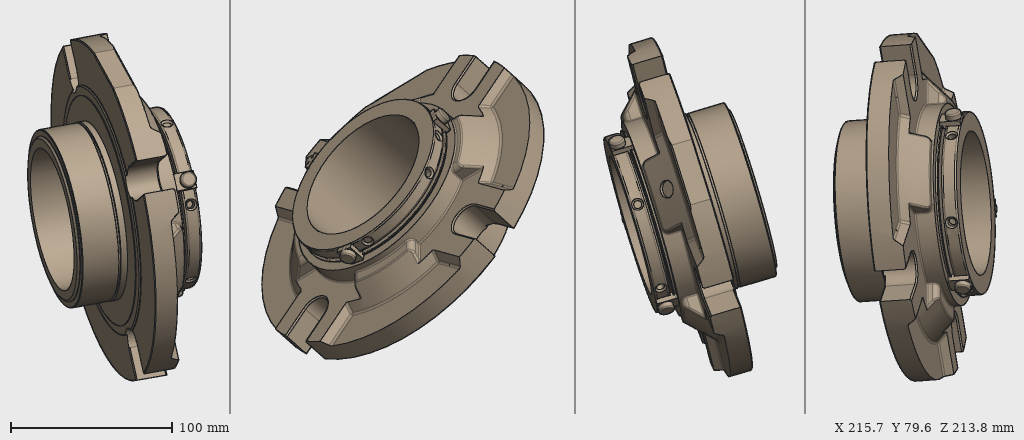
import cadquery as cq
import math


tolerance = 0.01

flange_radius = 107.83
flat_height = 105.99
flat_back_bevel = 1.0
rim_thickness = 14.5
pad_top = 20.3
pad_half_width_top = 25.5
pad_half_width_base = 30.0
mounting_edge_chamfer = 0.6
slot_angles = [45, 135, 225, 315]

slot_width = 21.2
slot_center_radius = 86.3
slot_front_bevel = 0.7
slot_back_bevel = 1.0

register_radius = 79.0
register_edge = 0.8
register_height = 1.3
register_step_radius = 145.47 / 2
register_step_height = 1.9

bore_diameter = 89.99
sleeve_radius = 112.7 / 2
sleeve_edge = 0.5
sleeve_tip_y = -33.0
sleeve_tip_radius = 104.76 / 2
sleeve_tip_chamfer = 1.4
sleeve_shoulder_y = -31.2
shoulder_radius = 113.25 / 2
groove_radius = 109.75 / 2
groove_front_y = -7.5
groove_back_y = -6.0

recess_fillet = 2.5
recess_overrun = 20.0

cone_sum = 99.3
body_radius = 63.0
hub_fillet = 0.9
body_top = 33.0
collar_step_radius = 112.7 / 2
collar_step_y = 34.5
collar_radius = 115.77 / 2
collar_y = 35.3
neck_radius = 95.23 / 2

boss_half_width = 23.8
boss_top = 32.0
lower_boss_top = 28.2
boss_tops = {0: boss_top, 90: boss_top, 180: boss_top, 270: lower_boss_top}
boss_corner_radius = 4.0
boss_edge_fillet = 1.6
boss_inner_radius = 50.0
port_diameter = 11.0
port_y = 22.9
port_depth = 2.2

ring_radius = 114.25 / 2
ring_front_y = 37.0
ring_back_y = 46.45
ring_chamfer_axial = 1.2
ring_chamfer_radial = 0.4
ring_mid_y = (ring_front_y + ring_back_y) / 2
set_screw_angles = [90, 180, 270]
open_hole_angles = [30, 150, 210, 330]
set_screw_diameter = 5.0
set_screw_mouth_diameter = 7.6
set_screw_recess = 1.2
open_hole_depth = 6.0

clip_angles = [45, 165, 285]
clip_width = 11.0
clip_inner_radius = 57.0
clip_outer_radius = 60.3
clip_foot_radius = 55.5
clip_corner_radius = 1.2
clip_head_diameter = 10.0
clip_head_y = 41.63
clip_head_top = 64.3
clip_head_round = 1.0


def at_angle(shape, angle):
    """Turn a feature built on +X about the Y axis, counted from +X toward +Z."""
    return shape.rotate((0, 0, 0), (0, 1, 0), -angle)


def axial_plane(y):
    """Plane across the axis at the given Y, with its normal along +Y."""
    return cq.Workplane(cq.Plane(origin=(0, y, 0), xDir=(1, 0, 0), normal=(0, 1, 0)))


def radial_cylinder(diameter, y, inner, outer):
    """Cylinder along +X between two distances from the axis."""
    base = cq.Workplane("YZ", origin=(inner, y, 0))
    return base.circle(diameter / 2).extrude(outer - inner)


def make_turned_body():
    """Revolved register, sleeve, cover body and lock ring."""
    profile = (
        cq.Workplane("XY")
        .moveTo(0, sleeve_tip_y)
        .lineTo(sleeve_tip_radius - sleeve_tip_chamfer, sleeve_tip_y)
        .lineTo(sleeve_tip_radius, sleeve_tip_y + sleeve_tip_chamfer)
        .lineTo(sleeve_tip_radius, sleeve_shoulder_y)
        .lineTo(sleeve_radius - sleeve_edge, sleeve_shoulder_y)
        .lineTo(sleeve_radius, sleeve_shoulder_y + sleeve_edge)
        .lineTo(sleeve_radius, groove_front_y)
        .lineTo(groove_radius, groove_front_y)
        .lineTo(groove_radius, groove_back_y)
        .lineTo(shoulder_radius, groove_back_y)
        .lineTo(shoulder_radius, -register_step_height)
        .lineTo(register_step_radius, -register_step_height)
        .lineTo(register_step_radius, -register_height)
        .lineTo(register_radius - register_edge, -register_height)
        .lineTo(register_radius, -register_height + register_edge)
        .lineTo(register_radius, 0)
        .lineTo(register_radius, rim_thickness)
        .lineTo(body_radius, rim_thickness)
        .lineTo(body_radius, body_top)
        .lineTo(collar_step_radius, body_top)
        .lineTo(collar_step_radius, collar_step_y)
        .lineTo(collar_radius, collar_step_y)
        .lineTo(collar_radius, collar_y)
        .lineTo(neck_radius, collar_y)
        .lineTo(neck_radius, ring_front_y)
        .lineTo(ring_radius - ring_chamfer_radial, ring_front_y)
        .lineTo(ring_radius, ring_front_y + ring_chamfer_axial)
        .lineTo(ring_radius, ring_back_y - ring_chamfer_axial)
        .lineTo(ring_radius - ring_chamfer_radial, ring_back_y)
        .lineTo(0, ring_back_y)
        .close()
    )
    return profile.revolve(360, (0, 0, 0), (0, 1, 0))


def make_cone():
    """Solid 45 degree cone carrying the recess walls and the port faces."""
    height = 2 * boss_top
    return cq.Workplane(
        obj=cq.Solid.makeCone(
            cone_sum, cone_sum - height, height, cq.Vector(0, 0, 0), cq.Vector(0, 1, 0)
        )
    )


def make_recess():
    """Recess cutter on +X, between two pads with sloped sides and outside the cone."""
    outer_x = flange_radius + recess_overrun

    def wedge_section(y, pad_half_width):
        apex_x = pad_half_width * math.sqrt(2)
        half_width = outer_x - apex_x
        corners = [(apex_x, 0), (outer_x, half_width), (outer_x, -half_width)]
        return cq.Wire.makePolygon([cq.Vector(x, y, z) for x, z in corners], close=True)

    floor = wedge_section(rim_thickness, pad_half_width_base)
    mouth = wedge_section(pad_top, pad_half_width_top)
    wedge = cq.Workplane(obj=cq.Solid.makeLoft([floor, mouth], True))
    recess = wedge.cut(make_cone())
    rounded = [
        edge
        for edge in recess.edges().vals()
        if edge.Center().x < outer_x - tolerance and edge.Center().y < pad_top - tolerance
    ]
    return recess.newObject(rounded).fillet(recess_fillet)


def make_boss_block(top):
    """Straight-sided block on +X with rounded upper corners, before it is cut to the cone."""
    return (
        cq.Workplane("XY")
        .box(cone_sum, top, 2 * boss_half_width, centered=(False, False, True))
        .translate((boss_inner_radius, 0, 0))
        .edges(">Y and |X")
        .fillet(boss_corner_radius)
    )


def make_conical_core():
    """Conical hub of the flange with the four port bosses rising out of it."""
    envelope = axial_plane(0).circle(body_radius).extrude(pad_top)
    for angle, top in boss_tops.items():
        envelope = envelope.union(at_angle(make_boss_block(top), angle))
    core = envelope.intersect(make_cone())
    rim_edges = core.faces(cq.selectors.TypeSelector("CONE")).edges()
    boss_rim = [edge for edge in rim_edges.vals() if edge.Center().y > pad_top + boss_edge_fillet]
    return core.newObject(boss_rim).fillet(boss_edge_fillet)


def make_flange():
    """Flange plate with conical core and bosses, recessed between the four pads."""
    plate = axial_plane(0).circle(flange_radius).extrude(pad_top)
    flange = plate.faces("<Y").edges().chamfer(mounting_edge_chamfer)
    for angle in boss_tops:
        flange = flange.cut(at_angle(make_recess(), angle))
    return flange.union(make_conical_core())


def round_hub_base(hub):
    """Fillet the inner corners where body, bosses and pad tops meet."""
    corner_x = math.sqrt(body_radius**2 - boss_half_width**2)

    def is_inner_corner(edge):
        center = edge.Center()
        on_pad_top = abs(center.y - pad_top) < tolerance
        box = edge.BoundingBox()
        upright = edge.geomType() == "LINE" and box.xlen < tolerance and box.zlen < tolerance
        near, far = sorted([abs(center.x), abs(center.z)])
        beside_boss = abs(near - boss_half_width) < tolerance
        at_body = beside_boss and abs(far - corner_x) < tolerance
        along_boss = on_pad_top and beside_boss and edge.geomType() == "LINE"
        around_body = False
        if on_pad_top and edge.geomType() == "CIRCLE":
            around_body = abs(edge.radius() - body_radius) < tolerance
        return along_boss or around_body or (upright and at_body)

    corners = [edge for edge in hub.edges().vals() if is_inner_corner(edge)]
    return hub.newObject(corners).fillet(hub_fillet)


def make_slot():
    """Bolt slot cutter with a round inner end, open at the rim."""
    start = axial_plane(-register_step_height)
    height = pad_top + register_step_height
    round_end = start.center(slot_center_radius, 0).circle(slot_width / 2).extrude(height)
    channel = (
        start.center(slot_center_radius + flange_radius / 2, 0)
        .rect(flange_radius, slot_width)
        .extrude(height)
    )
    front_flare = make_slot_flare(slot_front_bevel, 0, slot_front_bevel)
    back_flare = make_slot_flare(slot_back_bevel, pad_top, -slot_back_bevel)
    round_flare = cq.Solid.makeCone(
        slot_width / 2,
        slot_width / 2 + slot_back_bevel,
        slot_back_bevel,
        cq.Vector(slot_center_radius, pad_top - slot_back_bevel, 0),
        cq.Vector(0, 1, 0),
    )
    round_end = round_end.union(round_flare)
    return round_end.union(channel).union(front_flare).union(back_flare)


def make_slot_flare(bevel, face_y, depth):
    """Bevelled mouth of the straight part of a slot, narrowing from face_y over a signed depth."""
    half_width = slot_width / 2
    section = cq.Workplane("YZ", origin=(slot_center_radius, 0, 0)).polyline(
        [
            (face_y, -half_width - bevel),
            (face_y, half_width + bevel),
            (face_y + depth, half_width),
            (face_y + depth, -half_width),
        ]
    )
    return section.close().extrude(flange_radius)


def make_top_flat():
    """Cutter for the flat on the +Z side of the rim, with bevels on both edges of the flat."""
    section = cq.Workplane("YZ", origin=(-flange_radius, 0, 0)).polyline(
        [
            (0, flat_height - mounting_edge_chamfer),
            (mounting_edge_chamfer, flat_height),
            (rim_thickness - flat_back_bevel, flat_height),
            (rim_thickness, flat_height - flat_back_bevel),
            (rim_thickness, flange_radius),
            (0, flange_radius),
        ]
    )
    return section.close().extrude(2 * flange_radius)


def make_port():
    """Blind port, square to the cone face of the top boss."""
    mouth = cq.Vector(0, port_y, cone_sum - port_y)
    inward = cq.Vector(0, -1, -1).normalized()
    start = mouth - inward * port_depth
    solid = cq.Solid.makeCylinder(port_diameter / 2, 2 * port_depth, start, inward)
    return cq.Workplane(obj=solid)


def make_radial_hole(depth):
    """Countersunk blind radial hole in the lock ring, on +X."""
    floor = ring_radius - depth
    chamfer = (set_screw_mouth_diameter - set_screw_diameter) / 2
    cone = cq.Solid.makeCone(
        set_screw_diameter / 2,
        set_screw_mouth_diameter / 2,
        chamfer,
        cq.Vector(ring_radius - chamfer, ring_mid_y, 0),
        cq.Vector(1, 0, 0),
    )
    return radial_cylinder(set_screw_diameter, ring_mid_y, floor, ring_radius).union(cone)


def make_clip():
    """Setting clip on +X: plate outside the ring, foot in the ring gap, and screw head."""
    plate = (
        cq.Workplane("XY")
        .box(
            clip_outer_radius - clip_inner_radius,
            ring_back_y - body_top,
            clip_width,
            centered=(False, False, True),
        )
        .translate((clip_inner_radius, body_top, 0))
        .edges("<Y and |X")
        .fillet(clip_corner_radius)
    )
    foot = (
        cq.Workplane("XY")
        .box(
            clip_inner_radius - clip_foot_radius,
            ring_front_y - collar_y,
            clip_width,
            centered=(False, False, True),
        )
        .translate((clip_foot_radius, collar_y, 0))
    )
    head = (
        radial_cylinder(clip_head_diameter, clip_head_y, clip_inner_radius, clip_head_top)
        .faces(">X")
        .edges()
        .fillet(clip_head_round)
    )
    return plate.union(foot).union(head)


part = round_hub_base(make_flange().union(make_turned_body()))
for angle in slot_angles:
    part = part.cut(at_angle(make_slot(), angle))
part = part.cut(make_top_flat())
part = part.cut(make_port())

for angle in set_screw_angles:
    part = part.cut(at_angle(make_radial_hole(set_screw_recess), angle))
for angle in open_hole_angles:
    part = part.cut(at_angle(make_radial_hole(open_hole_depth), angle))
for angle in clip_angles:
    part = part.union(at_angle(make_clip(), angle))

bore_length = ring_back_y - sleeve_tip_y
result = part.cut(axial_plane(sleeve_tip_y).circle(bore_diameter / 2).extrude(bore_length))